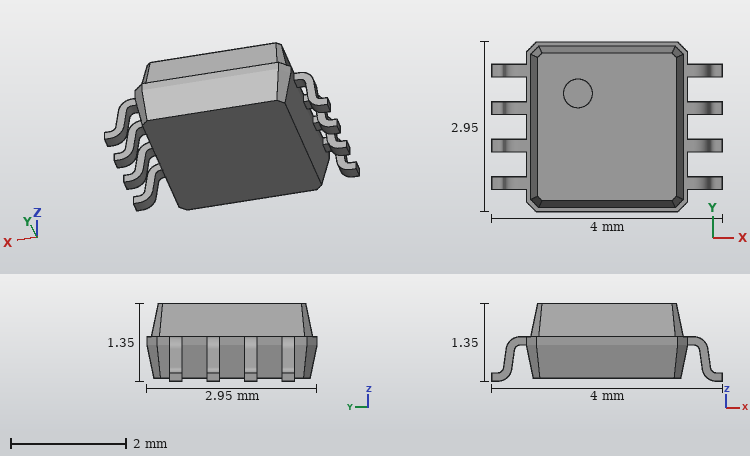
import cadquery as cq
import math

span_x = 4.0
body_x = 2.8
body_y = 2.95
body_bottom_z = 0.05
body_top_z = 1.35
band_top_z = 0.775

band_chamfer = 0.175
bottom_inset, bottom_chamfer = 0.12, 0.115
ledge_inset, ledge_chamfer = 0.075, 0.14
top_inset, top_chamfer = 0.195, 0.075

leads_per_side = 4
lead_row_length = 1.95
lead_pitch = lead_row_length / (leads_per_side - 1)
lead_width = 0.225
lead_thickness = 0.15
bend_inner = 0.1
bend_outer = bend_inner + lead_thickness
foot_flat = 0.105
leg_lean = math.radians(8)
lead_embed = 0.12

band_bottom_z = band_top_z - lead_thickness

mark_x, mark_y = -0.505, 0.58
mark_diameter = 0.5
mark_depth = 0.005


def add_outline(plane, inset, chamfer):
    """Add a rectangle with chamfered corners, inset from the band outline."""
    half_x = body_x / 2 - inset
    half_y = body_y / 2 - inset
    return plane.polyline([
        (half_x, half_y - chamfer),
        (half_x - chamfer, half_y),
        (chamfer - half_x, half_y),
        (-half_x, half_y - chamfer),
        (-half_x, chamfer - half_y),
        (chamfer - half_x, -half_y),
        (half_x - chamfer, -half_y),
        (half_x, chamfer - half_y),
    ]).close()


def body_layer(z_low, low_outline, z_high, high_outline):
    """Straight-sided solid between two (inset, chamfer) outlines."""
    low = add_outline(cq.Workplane("XY").workplane(offset=z_low), *low_outline)
    high = add_outline(low.workplane(offset=z_high - z_low), *high_outline)
    return high.loft(ruled=True, combine=True)


def make_body():
    band = (0, band_chamfer)
    lower = body_layer(body_bottom_z, (bottom_inset, bottom_chamfer), band_bottom_z, band)
    middle = body_layer(band_bottom_z, band, band_top_z, band)
    upper = body_layer(band_top_z, (ledge_inset, ledge_chamfer), body_top_z, (top_inset, top_chamfer))
    return lower.union(middle).union(upper)


def make_left_lead(y):
    """Gull-wing lead on the -X side, centred at the given Y."""
    tip_x = -span_x / 2
    inside_x = lead_embed - body_x / 2

    foot_x = tip_x + foot_flat
    foot_z = bend_outer
    shoulder_z = band_top_z - bend_outer
    radius_sum = bend_inner + bend_outer
    leg_rise = shoulder_z - foot_z + radius_sum * math.sin(leg_lean)
    shoulder_x = foot_x + radius_sum * math.cos(leg_lean) + leg_rise * math.tan(leg_lean)

    def on_foot(radius, angle):
        return (foot_x + radius * math.cos(angle), foot_z + radius * math.sin(angle))

    def on_shoulder(radius, angle):
        return (shoulder_x + radius * math.cos(angle), shoulder_z + radius * math.sin(angle))

    foot_start, foot_end = -math.pi / 2, -leg_lean
    foot_mid = (foot_start + foot_end) / 2
    shoulder_start, shoulder_end = math.pi - leg_lean, math.pi / 2
    shoulder_mid = (shoulder_start + shoulder_end) / 2

    profile = (
        cq.Workplane("XZ", origin=(0, y, 0))
        .moveTo(tip_x, 0)
        .lineTo(*on_foot(bend_outer, foot_start))
        .threePointArc(on_foot(bend_outer, foot_mid), on_foot(bend_outer, foot_end))
        .lineTo(*on_shoulder(bend_inner, shoulder_start))
        .threePointArc(on_shoulder(bend_inner, shoulder_mid), on_shoulder(bend_inner, shoulder_end))
        .lineTo(inside_x, band_bottom_z)
        .lineTo(inside_x, band_top_z)
        .lineTo(*on_shoulder(bend_outer, shoulder_end))
        .threePointArc(on_shoulder(bend_outer, shoulder_mid), on_shoulder(bend_outer, shoulder_start))
        .lineTo(*on_foot(bend_inner, foot_end))
        .threePointArc(on_foot(bend_inner, foot_mid), on_foot(bend_inner, foot_start))
        .lineTo(tip_x, lead_thickness)
        .close()
    )
    return profile.extrude(lead_width / 2, both=True)


result = make_body()

for index in range(leads_per_side):
    left_lead = make_left_lead(index * lead_pitch - lead_row_length / 2)
    right_lead = left_lead.mirror("YZ")
    for lead in (left_lead, right_lead):
        result = result.cut(lead, clean=False).union(lead, clean=False)

mark = (
    cq.Workplane("XY")
    .workplane(offset=body_top_z - mark_depth)
    .center(mark_x, mark_y)
    .circle(mark_diameter / 2)
    .extrude(mark_depth)
)
result = result.cut(mark, clean=False)